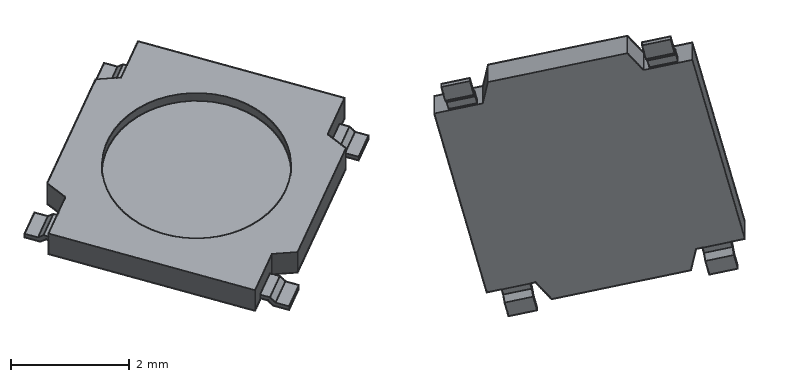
import cadquery as cq
import math

overall_length = 4.75
body_width = 4.5
overall_height = 0.6
standoff = 0.05

notch_depth = 0.395
notch_straight = 0.85
notch_taper = 0.185

recess_diameter = 3.2
recess_depth = 0.21

lead_width = 0.5
lead_end_gap = 0.25
lead_thickness = 0.1
lead_rise = 0.1
foot_length = 0.24
lead_slope = 45.0

half_body = body_width / 2
wall_x = half_body - notch_depth
lead_y = half_body - lead_end_gap - lead_width / 2


def make_body():
    """Square block with a notch at each corner and a round recess on top."""
    body = (
        cq.Workplane("XY")
        .workplane(offset=standoff)
        .rect(body_width, body_width)
        .extrude(overall_height - standoff)
    )
    straight_y = half_body - notch_straight
    for side_x in (-1, 1):
        for side_y in (-1, 1):
            notch = (
                cq.Workplane("XY")
                .moveTo(side_x * wall_x, side_y * half_body)
                .lineTo(side_x * wall_x, side_y * straight_y)
                .lineTo(side_x * half_body, side_y * (straight_y - notch_taper))
                .lineTo(side_x * half_body, side_y * half_body)
                .close()
                .extrude(overall_height)
            )
            body = body.cut(notch)
    recess = (
        cq.Workplane("XY")
        .workplane(offset=overall_height - recess_depth)
        .circle(recess_diameter / 2)
        .extrude(recess_depth)
    )
    return body.cut(recess)


def make_lead(side_x, side_y):
    """One bent strip of constant thickness, running from its tip to the notch wall."""
    tip_x = overall_length / 2
    slope_run = lead_rise / math.tan(math.radians(lead_slope))
    bend_shift = lead_thickness * math.tan(math.radians(lead_slope / 2))
    upper_bend_x = tip_x - foot_length
    lower_bend_x = upper_bend_x - bend_shift
    profile = [
        (tip_x, 0),
        (tip_x, lead_thickness),
        (upper_bend_x, lead_thickness),
        (upper_bend_x - slope_run, lead_thickness + lead_rise),
        (wall_x, lead_thickness + lead_rise),
        (wall_x, lead_rise),
        (lower_bend_x - slope_run, lead_rise),
        (lower_bend_x, 0),
    ]
    return (
        cq.Workplane("XZ")
        .polyline([(side_x * x, z) for x, z in profile])
        .close()
        .extrude(lead_width / 2, both=True)
        .translate((0, side_y * lead_y, 0))
    )


result = make_body()
for lead_side_x in (-1, 1):
    for lead_side_y in (-1, 1):
        result = result.union(make_lead(lead_side_x, lead_side_y))